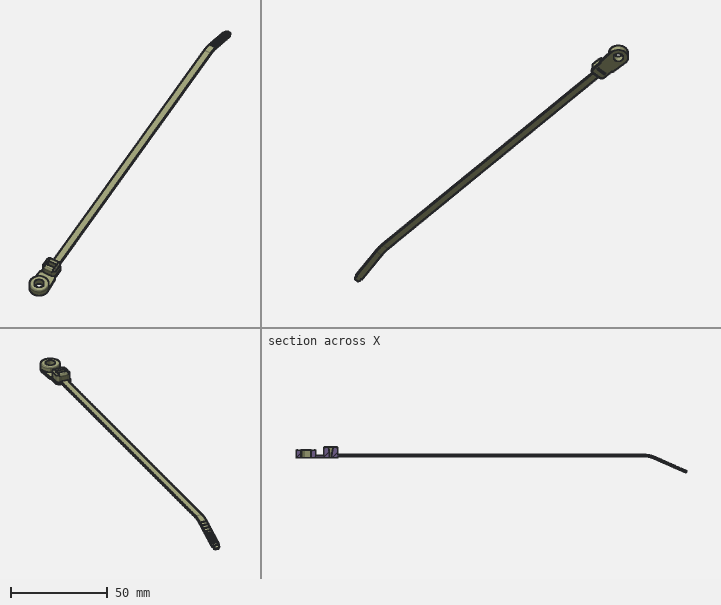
import cadquery as cq
import math


ring_diameter = 10.16
hole_diameter = 5.08
ring_height = 4.05
ring_edge_radius = 0.5

tab_end_width = 9.1
tab_thickness = 1.3

head_width = 7.85
head_length = 7.4
head_height = 5.65
head_front_y = 9.1
head_corner_radius = 1.8
head_edge_radius = 1.0
crown_eave_z = 4.85
crown_knee_x = 3.2
crown_knee_z = 5.35
crown_flat_x = 2.5
head_back_y = head_front_y + head_length
head_center_y = (head_front_y + head_back_y) / 2

foot_width = 8.0
foot_back_overhang = 0.6
foot_ramp_length = 2.6
foot_ramp_height = 0.5

window_width = 5.0
window_front_y = 12.3
window_mouth_front_y = 11.7
window_back_y = 13.3
window_mouth_back_y = 14.0

strap_width = 4.3
strap_thickness = 1.1
strap_bottom_z = 0.65
strap_top_z = strap_bottom_z + strap_thickness
strap_half_width = strap_width / 2
strap_root_y = head_center_y + head_length / 4

total_length = 202.17
tip_y = total_length - ring_diameter / 2
bend_start_y = 175.0
bend_end_y = 180.3
tail_angle = math.radians(23.77)
tail_sin = math.sin(tail_angle)
tail_cos = math.cos(tail_angle)

bend_radius = (bend_end_y - bend_start_y) / tail_sin
bend_end_z = strap_top_z - bend_radius * (1 - tail_cos)
tail_length = (tip_y - bend_end_y) / tail_cos

tail_plane = cq.Plane(
    origin=(0, bend_end_y, bend_end_z), xDir=(1, 0, 0), normal=(0, tail_sin, tail_cos)
)

tip_width = 3.0
tip_length = 2.1
tip_corner = 0.6

groove_pitch = 2.0
groove_depth = 0.2
first_groove = 0.3
fine_groove_width = 0.2
coarse_groove_width = 0.9
fine_groove_count = 4
coarse_groove_count = 4
tip_groove_count = 1
groove_widths = (
    fine_groove_count * [fine_groove_width]
    + coarse_groove_count * [coarse_groove_width]
    + tip_groove_count * [fine_groove_width]
)

strap_bevel = 0.3
rail_bevel_width = 0.9
rail_bevel_depth = 0.35
rail_start = 7.5

margin = 1.0


def make_ring():
    ring = cq.Workplane("XY").circle(ring_diameter / 2).extrude(ring_height)
    return ring.faces(">Z").edges().fillet(ring_edge_radius)


def make_tab():
    """Plate tapering from the full ring width to the front of the head."""
    outline = [
        (-ring_diameter / 2, 0),
        (ring_diameter / 2, 0),
        (tab_end_width / 2, head_front_y),
        (-tab_end_width / 2, head_front_y),
    ]
    return cq.Workplane("XY").polyline(outline).close().extrude(tab_thickness)


def make_head():
    """Block with rounded upright corners, a faceted crown across X and rounded ends along Y."""
    box = cq.Workplane("XY").center(0, head_center_y).rect(head_width, head_length).extrude(head_height)
    block = box.faces(">Z").edges("|X").fillet(head_edge_radius)
    crown_half = [
        (head_width / 2, 0),
        (head_width / 2, crown_eave_z),
        (crown_knee_x, crown_knee_z),
        (crown_flat_x, head_height),
    ]
    crown_outline = crown_half + [(-x, z) for x, z in reversed(crown_half)]
    crown = cq.Workplane("XZ").polyline(crown_outline).close().extrude(-2 * head_back_y)
    plan = box.edges("|Z").fillet(head_corner_radius)
    return block.intersect(crown).intersect(plan)


def make_foot():
    """Plate under the head whose back end is ramped underneath and rounded at the corners."""
    foot_back_y = head_back_y + foot_back_overhang
    profile = [
        (head_front_y, 0),
        (foot_back_y - foot_ramp_length, 0),
        (foot_back_y, foot_ramp_height),
        (foot_back_y, tab_thickness),
        (head_front_y, tab_thickness),
    ]
    foot = cq.Workplane("YZ").polyline(profile).close().extrude(foot_width / 2, both=True)
    return foot.edges("|Z and >Y").fillet(head_corner_radius)


def make_window():
    profile = [
        (window_front_y, -margin),
        (window_back_y, -margin),
        (window_back_y, strap_top_z),
        (window_mouth_back_y, head_height),
        (window_mouth_back_y, head_height + margin),
        (window_mouth_front_y, head_height + margin),
        (window_mouth_front_y, head_height),
        (window_front_y, strap_top_z),
    ]
    return cq.Workplane("YZ").polyline(profile).close().extrude(window_width / 2, both=True)


def bend_point(radius, angle):
    """Point at an angle round the bend centre, measured from straight up."""
    center_z = strap_top_z - bend_radius
    return (bend_start_y + radius * math.sin(angle), center_z + radius * math.cos(angle))


def make_strap():
    inner_radius = bend_radius - strap_thickness
    tip_top = (tip_y, bend_end_z - tail_length * tail_sin)
    tip_bottom = (tip_top[0] - strap_thickness * tail_sin, tip_top[1] - strap_thickness * tail_cos)
    profile = (
        cq.Workplane("YZ")
        .moveTo(strap_root_y, strap_bottom_z)
        .lineTo(strap_root_y, strap_top_z)
        .lineTo(bend_start_y, strap_top_z)
        .threePointArc(bend_point(bend_radius, tail_angle / 2), bend_point(bend_radius, tail_angle))
        .lineTo(*tip_top)
        .lineTo(*tip_bottom)
        .lineTo(*bend_point(inner_radius, tail_angle))
        .threePointArc(bend_point(inner_radius, tail_angle / 2), bend_point(inner_radius, 0))
        .close()
    )
    strap = profile.extrude(strap_half_width, both=True)
    flat_part = cq.selectors.BoxSelector(
        (-strap_width, head_center_y, 0), (strap_width, bend_start_y, head_height)
    )
    return strap.edges("|Y").edges(flat_part).chamfer(strap_bevel)


def cut_grooves(strap):
    for index, width in enumerate(groove_widths):
        groove = (
            cq.Workplane(tail_plane)
            .center(0, first_groove + index * groove_pitch)
            .rect(strap_width + margin, width)
            .extrude(-groove_depth)
        )
        strap = strap.cut(groove)
    return strap


def cut_rails(strap):
    """Bevel both upper edges of the tail from just before the first coarse groove to the tip."""
    rail_plane = cq.Workplane(tail_plane).transformed(rotate=(-90, 0, 0), offset=(0, rail_start, 0))
    for side in (-1, 1):
        corner = side * strap_half_width
        section = [(corner, 0), (corner, rail_bevel_depth), (corner - side * rail_bevel_width, 0)]
        waste = rail_plane.polyline(section).close().extrude(tail_length)
        strap = strap.cut(waste)
    return strap


def cut_tip(strap):
    """Narrow the end of the tail and bevel its two end corners."""
    shoulder = tail_length - tip_length
    half_tip = tip_width / 2
    outer = strap_half_width + margin
    end = tail_length + margin
    for side in (-1, 1):
        outline = [
            (side * half_tip, shoulder),
            (side * half_tip, tail_length - tip_corner),
            (side * (half_tip - tip_corner), tail_length),
            (side * (half_tip - tip_corner), end),
            (side * outer, end),
            (side * outer, shoulder),
        ]
        waste = cq.Workplane(tail_plane).polyline(outline).close().extrude(2 * strap_thickness, both=True)
        strap = strap.cut(waste)
    return strap


strap = cut_tip(cut_rails(cut_grooves(make_strap())))
hole = cq.Workplane("XY").circle(hole_diameter / 2).extrude(ring_height)
body = make_ring().union(make_tab()).union(make_head()).union(make_foot()).union(strap)
result = body.cut(make_window()).cut(hole)